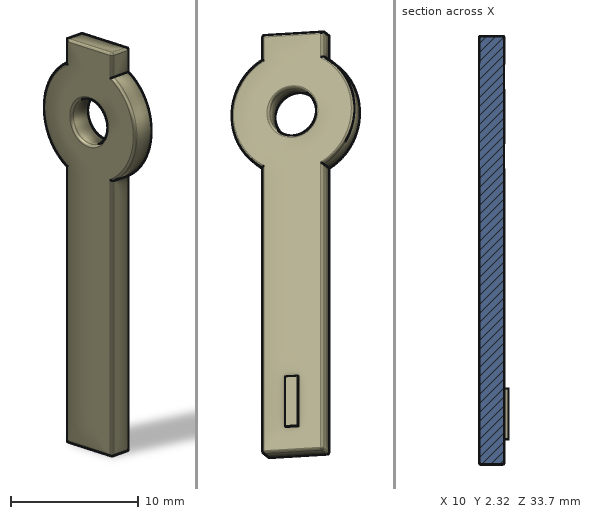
import cadquery as cq
import math

thickness = 2.0
eye_radius = 5.0
hole_diameter = 3.75
bar_width = 5.0
tab_length = 2.0
shank_length = 23.0
edge_radius = 0.2

rib_width = 1.0
rib_length = 4.0
rib_height = 0.32
rib_foot_gap = 2.0

shoulder_height = math.sqrt(eye_radius**2 - (bar_width / 2) ** 2)
top_z = shoulder_height + tab_length
bottom_z = -shoulder_height - shank_length


def block(width, depth, height, y_start, z_start):
    """Box centred on X, growing toward +Y and +Z from its start position."""
    box = cq.Workplane("XY").box(width, depth, height, centered=(True, False, False))
    return box.translate((0, y_start, z_start))


def disc(radius):
    """Round plate through the full thickness, centred on the Y axis."""
    return cq.Workplane("XZ").circle(radius).extrude(-thickness)


def make_outline():
    """Eye with a short tab above and a long shank below."""
    bar = block(bar_width, thickness, top_z - bottom_z, 0, bottom_z)
    return disc(eye_radius).union(bar)


def round_end_corners(body):
    """Round three of the four end corners; the upper -X corner stays sharp."""
    body = body.edges("|Y").edges("<Z").fillet(edge_radius)
    return body.edges("|Y").edges(">Z").edges(">X").fillet(edge_radius)


def cut_hole(body):
    """Through hole at the centre of the eye."""
    return body.cut(disc(hole_diameter / 2))


def round_face_edges(body):
    """Round the outline and the hole rim on both flat faces."""
    return body.faces("<Y or >Y").edges().fillet(edge_radius)


def make_rib():
    """Upright rib standing on the +Y face."""
    return block(rib_width, rib_height, rib_length, thickness, bottom_z + rib_foot_gap)


lever = round_end_corners(make_outline())
lever = round_face_edges(cut_hole(lever))
result = lever.union(make_rib())